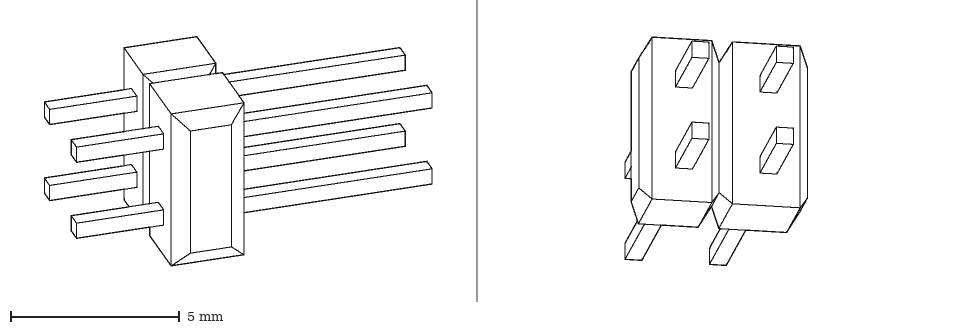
import cadquery as cq

pin_length = 11.1
body_width = 5.08
body_height = 5.08
body_depth = 2.28

pin_size = 0.51
pin_pitch = 2.54
pin_front_reach = 2.72

left_block_width = 2.42
end_length = 0.31
end_inset = 0.5

right_block_width = body_width - left_block_width


def tapered_end(base_x, direction):
    """Frustum growing from the full section at base_x along +X or -X."""
    return (
        cq.Workplane("YZ", origin=(base_x, 0, 0))
        .rect(body_depth, body_height)
        .workplane(offset=direction * end_length)
        .rect(body_depth - 2 * end_inset, body_height - 2 * end_inset)
        .loft(ruled=True)
    )


def block(start_x, width):
    """Straight middle with a tapered end on each side."""
    middle_start = start_x + end_length
    middle_end = start_x + width - end_length
    middle = (
        cq.Workplane("YZ", origin=(middle_start, 0, 0))
        .rect(body_depth, body_height)
        .extrude(middle_end - middle_start)
    )
    return middle.union(tapered_end(middle_start, -1)).union(tapered_end(middle_end, 1))


left_edge = -body_width / 2
result = block(left_edge, left_block_width).union(
    block(left_edge + left_block_width, right_block_width)
)

pin_center_y = -body_depth / 2 - pin_front_reach + pin_length / 2
for x in (-pin_pitch / 2, pin_pitch / 2):
    for z in (-pin_pitch / 2, pin_pitch / 2):
        pin = cq.Workplane("XY").box(pin_size, pin_length, pin_size)
        result = result.union(pin.translate((x, pin_center_y, z)))